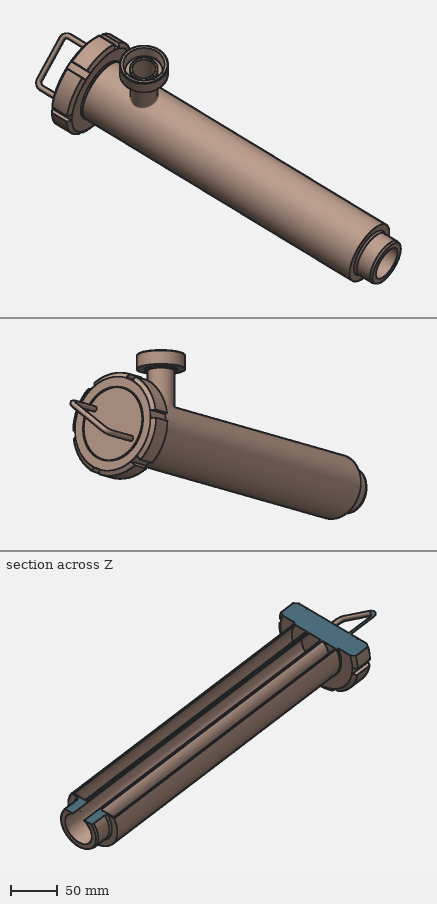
import cadquery as cq
import math

handle_front_x = 0.0
nut_front_x = 44.0
nut_back_x = 70.5
shoulder_back_x = 73.0
body_end_x = 432.3
total_length = 455.5
wall = 2.05
body_diameter = 70.0
body_bore = body_diameter - 2 * wall
shoulder_diameter = 71.0

core_diameter = 40.5
core_wall = 1.5
core_bore = core_diameter - 2 * core_wall

outlet_diameter = 52.0
outlet_root_diameter = 54.5
outlet_tip_diameter = 50.0
outlet_taper = 2.7

nut_diameter = 112.0
nut_chamfer_x = 3.0
nut_slot_floor_diameter = 102.0
nut_slot_width = 9.0
nut_slot_count = 6
nut_slot_angle = 4.0
cap_diameter = 79.3
cap_gap = 0.7
cap_gap_depth = 1.0

rod_diameter = 6.0
handle_span = 63.0
handle_angle = 38.5
handle_bend_radius = 6.5
handle_root_depth = 4.5

branch_x = 128.5
branch_diameter = 29.0
branch_bore = 25.0
branch_weld_radius = 1.5
flange_diameter = 52.0
overall_height = 146.0
flange_thickness = 15.5
flange_top_z = overall_height - nut_diameter / 2
flange_bottom_z = flange_top_z - flange_thickness
flange_collar_diameter = 35.0
flange_collar_height = 2.0
flange_chamfer = 1.0
socket_mouth_diameter = 44.0
socket_floor_diameter = 40.0
socket_depth = 8.0
lip_diameter = 30.0
groove_depth = 3.5


def disc_x(diameter, start_x, end_x):
    """Solid cylinder about the X axis."""
    return cq.Workplane("YZ", origin=(start_x, 0, 0)).circle(diameter / 2).extrude(end_x - start_x)


def disc_z(diameter, bottom_z, top_z):
    """Solid cylinder about the branch axis."""
    return cq.Workplane("XY", origin=(branch_x, 0, bottom_z)).circle(diameter / 2).extrude(top_z - bottom_z)


def revolve_x(points):
    """Revolve an (x, radius) outline about the X axis."""
    return cq.Workplane("XY").polyline(points).close().revolve(360, (0, 0, 0), (1, 0, 0))


def make_outlet():
    """Spigot with a tapered weld root and a tapered tip."""
    return revolve_x([
        (body_end_x, 0),
        (body_end_x, outlet_root_diameter / 2),
        (body_end_x + outlet_taper, outlet_diameter / 2),
        (total_length - outlet_taper, outlet_diameter / 2),
        (total_length, outlet_tip_diameter / 2),
        (total_length, 0),
    ])


def make_nut():
    """Ring nut with chamfered rims, wrench slots and a shallow gap around the end cap."""
    rim = nut_diameter / 2
    floor = nut_slot_floor_diameter / 2
    nut = revolve_x([
        (nut_front_x, 0),
        (nut_front_x, floor),
        (nut_front_x + nut_chamfer_x, rim),
        (nut_back_x - nut_chamfer_x, rim),
        (nut_back_x, floor),
        (nut_back_x, 0),
    ])
    slot_depth = rim - floor
    for index in range(nut_slot_count):
        angle = nut_slot_angle + index * 360 / nut_slot_count
        slot = (
            cq.Workplane("XY")
            .box(nut_back_x - nut_front_x, slot_depth, nut_slot_width)
            .translate(((nut_front_x + nut_back_x) / 2, -(rim + floor) / 2, 0))
            .rotate((0, 0, 0), (1, 0, 0), -angle)
        )
        nut = nut.cut(slot)
    gap_end_x = nut_front_x + cap_gap_depth
    gap = disc_x(cap_diameter + 2 * cap_gap, nut_front_x, gap_end_x)
    gap = gap.cut(disc_x(cap_diameter, nut_front_x, gap_end_x))
    return nut.cut(gap)


def make_handle():
    """U-shaped rod tilted about the X axis, rooted in the end cap."""
    near_x = handle_front_x + rod_diameter / 2
    half = handle_span / 2
    root_x = nut_front_x + handle_root_depth
    bend = handle_bend_radius
    inset = bend * (1 - math.sqrt(0.5))
    path = (
        cq.Workplane("XY")
        .moveTo(root_x, half)
        .lineTo(near_x + bend, half)
        .threePointArc((near_x + inset, half - inset), (near_x, half - bend))
        .lineTo(near_x, bend - half)
        .threePointArc((near_x + inset, inset - half), (near_x + bend, -half))
        .lineTo(root_x, -half)
    )
    rod = cq.Workplane("YZ", origin=(root_x, half, 0)).circle(rod_diameter / 2).sweep(path)
    return rod.rotate((0, 0, 0), (1, 0, 0), handle_angle)


def make_branch_bore():
    """Pipe bore opening into a tapered socket, with a seal groove around a central lip."""
    bore = disc_z(branch_bore, 0, flange_top_z)
    socket_floor_z = flange_top_z - socket_depth
    groove_floor_z = socket_floor_z - groove_depth
    groove = disc_z(socket_floor_diameter, groove_floor_z, socket_floor_z)
    groove = groove.cut(disc_z(lip_diameter, groove_floor_z, socket_floor_z))
    socket = (
        cq.Workplane("XY", origin=(branch_x, 0, socket_floor_z))
        .circle(socket_floor_diameter / 2)
        .workplane(offset=socket_depth)
        .circle(socket_mouth_diameter / 2)
        .loft(ruled=True)
    )
    return bore.union(socket).union(groove)


def make_branch():
    """Inlet pipe with a socketed flange."""
    branch = disc_z(branch_diameter, 0, flange_bottom_z)
    collar_bottom_z = flange_bottom_z - flange_collar_height
    collar = disc_z(flange_collar_diameter, collar_bottom_z, flange_bottom_z)
    flange = disc_z(flange_diameter, flange_bottom_z, flange_top_z).faces(">Z").chamfer(flange_chamfer)
    return branch.union(collar).union(flange)


body = disc_x(body_diameter, nut_back_x, body_end_x)
body = body.union(make_branch())
weld_region = cq.selectors.BoxSelector(
    (branch_x - branch_diameter, -branch_diameter, 0),
    (branch_x + branch_diameter, branch_diameter, body_diameter / 2 + wall),
    boundingbox=True,
)
body = body.edges(weld_region).fillet(branch_weld_radius)
body = body.union(disc_x(shoulder_diameter, nut_back_x, shoulder_back_x))
result = body.union(make_outlet()).union(make_nut())

cavity = disc_x(body_bore, shoulder_back_x, body_end_x - wall).union(make_branch_bore())
cavity = cavity.cut(disc_x(core_diameter, shoulder_back_x, body_end_x))
result = result.cut(cavity)

result = result.cut(disc_x(core_bore, shoulder_back_x, total_length))

result = result.union(make_handle())